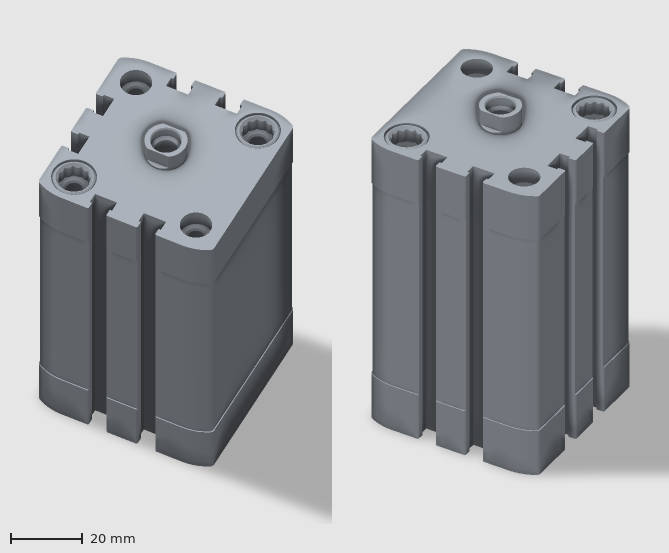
import cadquery as cq
import math

CAP_WIDTH = 54.5
HOUSING_HEIGHT = 95.1
CAP_HEIGHT = 15.0
BARREL_INSET = 0.3
CORNER_START = 19.0
SHOULDER_RADIUS = 15.0
CORNER_FILLET = 1.3

SLOT_OFFSET = 7.6
SLOT_MOUTH_WIDTH = 5.5
SLOT_MOUTH_DEPTH = 2.3
SLOT_INNER_WIDTH = 6.9
SLOT_DEPTH = 5.5
SLOT_MOUTH_CHAMFER = 0.3

HOLE_SPACING = 38.0
THREAD_CORE_DIAMETER = 4.92
THREAD_DIAMETER = 6.0
COUNTERBORE_DIAMETER = 9.0
COUNTERBORE_DEPTH = 5.0

SCREW_HOLE_DIAMETER = 12.8
SCREW_HEAD_DIAMETER = 11.9
SCREW_HEAD_CHAMFER = 0.5
SCREW_GAP_DEPTH = 1.0
SOCKET_MOUTH_DIAMETER = 10.4
SOCKET_ROOT_DIAMETER = 9.4
SOCKET_TIP_DIAMETER = 8.6
SOCKET_CONE_DEPTH = 1.3
SOCKET_DEPTH = 5.0
SPLINE_COUNT = 12

ROD_DIAMETER = 12.0
ROD_PROTRUSION = 6.0
ROD_FLAT_WIDTH = 10.0
ROD_FLAT_BASE = 1.1
ROD_FLAT_FOOT_DROP = 0.5
ROD_MOUTH_DIAMETER = 9.0
ROD_RECESS_DIAMETER = 8.4
ROD_MOUTH_CHAMFER_DEPTH = 0.5
ROD_RECESS_DEPTH = 3.2
ROD_THREAD_CORE_DIAMETER = 6.65
ROD_THREAD_DEPTH = 14.0
DRILL_POINT_ANGLE = 118.0

ROD_TOP = HOUSING_HEIGHT + ROD_PROTRUSION
ROD_BOTTOM = CAP_HEIGHT
HOLE_POSITION = HOLE_SPACING / 2
PLAIN_CORNERS = [(-HOLE_POSITION, HOLE_POSITION), (HOLE_POSITION, -HOLE_POSITION)]
SCREW_CORNERS = [(-HOLE_POSITION, -HOLE_POSITION), (HOLE_POSITION, HOLE_POSITION)]


def revolve_profile(points):
    """Solid of revolution about Z from (radius, height) points."""
    return cq.Workplane("XZ").polyline(points).close().revolve(360, (0, 0, 0), (0, 1, 0))


def body_block(inset, bottom, height):
    """Square block whose +Y and -Y faces curve away towards the rounded corners."""
    half = CAP_WIDTH / 2 - inset
    radius = SHOULDER_RADIUS - inset

    def shoulder(x):
        return half - radius + math.sqrt(radius**2 - (x - CORNER_START) ** 2)

    edge = shoulder(half)
    middle_x = (CORNER_START + half) / 2
    middle_y = shoulder(middle_x)
    return (
        cq.Workplane("XY", origin=(0, 0, bottom))
        .moveTo(-CORNER_START, half)
        .lineTo(CORNER_START, half)
        .threePointArc((middle_x, middle_y), (half, edge))
        .lineTo(half, -edge)
        .threePointArc((middle_x, -middle_y), (CORNER_START, -half))
        .lineTo(-CORNER_START, -half)
        .threePointArc((-middle_x, -middle_y), (-half, -edge))
        .lineTo(-half, edge)
        .threePointArc((-middle_x, middle_y), (-CORNER_START, half))
        .close()
        .extrude(height)
        .edges("|Z and (<X or >X)")
        .fillet(CORNER_FILLET)
    )


def t_slot(offset):
    """Full-height T-slot cutter opening through the -Y face."""
    face = -CAP_WIDTH / 2
    mouth = SLOT_MOUTH_WIDTH / 2
    inner = SLOT_INNER_WIDTH / 2
    flare = mouth + SLOT_MOUTH_CHAMFER
    right_side = [
        (flare, face),
        (mouth, face + SLOT_MOUTH_CHAMFER),
        (mouth, face + SLOT_MOUTH_DEPTH),
        (inner, face + SLOT_MOUTH_DEPTH),
        (inner, face + SLOT_DEPTH),
    ]
    left_side = [(-x, y) for x, y in reversed(right_side)]
    outline = [(x + offset, y) for x, y in right_side + left_side]
    return cq.Workplane("XY").polyline(outline).close().extrude(HOUSING_HEIGHT)


def threaded_hole(seat):
    """Through hole at thread core size, countersunk to the thread size at the seat height."""
    core = THREAD_CORE_DIAMETER / 2
    mouth = THREAD_DIAMETER / 2
    return revolve_profile([(0, 0), (core, 0), (core, seat - (mouth - core)), (mouth, seat), (0, seat)])


def plain_corner_hole():
    """Threaded hole below a counterbore."""
    seat = HOUSING_HEIGHT - COUNTERBORE_DEPTH
    counterbore = (
        cq.Workplane("XY", origin=(0, 0, seat)).circle(COUNTERBORE_DIAMETER / 2).extrude(COUNTERBORE_DEPTH)
    )
    return threaded_hole(seat).union(counterbore)


def screw_head_gap():
    """Ring of clearance around the screw head, widened at the top by the head chamfer."""
    top = HOUSING_HEIGHT
    floor = top - SCREW_GAP_DEPTH
    outer = SCREW_HOLE_DIAMETER / 2
    head = SCREW_HEAD_DIAMETER / 2
    return revolve_profile([
        (head, floor),
        (outer, floor),
        (outer, top),
        (head - SCREW_HEAD_CHAMFER, top),
        (head, top - SCREW_HEAD_CHAMFER),
    ])


def splined_socket():
    """Socket with pointed splines and a conical lead-in."""
    seat = HOUSING_HEIGHT - SOCKET_DEPTH
    step = 2 * math.pi / SPLINE_COUNT
    star = []
    for i in range(SPLINE_COUNT):
        for diameter, angle in ((SOCKET_ROOT_DIAMETER, i * step), (SOCKET_TIP_DIAMETER, (i + 0.5) * step)):
            star.append((diameter / 2 * math.cos(angle), diameter / 2 * math.sin(angle)))
    splines = cq.Workplane("XY", origin=(0, 0, seat)).polyline(star).close().extrude(SOCKET_DEPTH)
    lead_in = revolve_profile([
        (0, HOUSING_HEIGHT - SOCKET_CONE_DEPTH),
        (SOCKET_TIP_DIAMETER / 2, HOUSING_HEIGHT - SOCKET_CONE_DEPTH),
        (SOCKET_MOUTH_DIAMETER / 2, HOUSING_HEIGHT),
        (0, HOUSING_HEIGHT),
    ])
    return splines.union(lead_in).union(threaded_hole(seat))


def build_housing():
    barrel_height = HOUSING_HEIGHT - 2 * CAP_HEIGHT
    housing = body_block(0, 0, CAP_HEIGHT)
    housing = housing.union(body_block(BARREL_INSET, CAP_HEIGHT, barrel_height))
    housing = housing.union(body_block(0, HOUSING_HEIGHT - CAP_HEIGHT, CAP_HEIGHT))

    for face_angle in (0, -90, 180):
        for offset in (-SLOT_OFFSET, SLOT_OFFSET):
            housing = housing.cut(t_slot(offset).rotate((0, 0, 0), (0, 0, 1), face_angle))

    for x, y in PLAIN_CORNERS:
        housing = housing.cut(plain_corner_hole().translate((x, y, 0)))
    for x, y in SCREW_CORNERS:
        housing = housing.cut(screw_head_gap().translate((x, y, 0)))
        housing = housing.cut(splined_socket().translate((x, y, 0)))

    rod_bore = (
        cq.Workplane("XY", origin=(0, 0, ROD_BOTTOM))
        .circle(ROD_DIAMETER / 2)
        .extrude(HOUSING_HEIGHT - ROD_BOTTOM)
    )
    return housing.cut(rod_bore)


def rod_flat():
    """Cutter for the wrench flat on the +Y side, with a foot sloping down to the rod surface."""
    radius = ROD_DIAMETER / 2
    flat = ROD_FLAT_WIDTH / 2
    foot = HOUSING_HEIGHT + ROD_FLAT_BASE
    outline = [(flat, ROD_TOP), (flat, foot), (radius, foot - ROD_FLAT_FOOT_DROP), (radius, ROD_TOP)]
    return cq.Workplane("YZ").polyline(outline).close().extrude(radius, both=True)


def rod_end_bore():
    """Blind threaded bore: chamfered mouth, wider recess, conical step, core and drill point."""
    mouth = ROD_MOUTH_DIAMETER / 2
    recess = ROD_RECESS_DIAMETER / 2
    core = ROD_THREAD_CORE_DIAMETER / 2
    recess_floor = ROD_TOP - ROD_RECESS_DEPTH
    core_floor = ROD_TOP - ROD_THREAD_DEPTH
    point = core_floor - core / math.tan(math.radians(DRILL_POINT_ANGLE / 2))
    return revolve_profile([
        (0, ROD_TOP),
        (mouth, ROD_TOP),
        (recess, ROD_TOP - ROD_MOUTH_CHAMFER_DEPTH),
        (recess, recess_floor),
        (core, recess_floor - (recess - core)),
        (core, core_floor),
        (0, point),
    ])


def build_piston_rod():
    rod = cq.Workplane("XY", origin=(0, 0, ROD_BOTTOM)).circle(ROD_DIAMETER / 2).extrude(ROD_TOP - ROD_BOTTOM)
    for angle in (0, 180):
        rod = rod.cut(rod_flat().rotate((0, 0, 0), (0, 0, 1), angle))
    return rod.cut(rod_end_bore())


housing = build_housing()
piston_rod = build_piston_rod()

result = cq.Compound.makeCompound([housing.val(), piston_rod.val()])